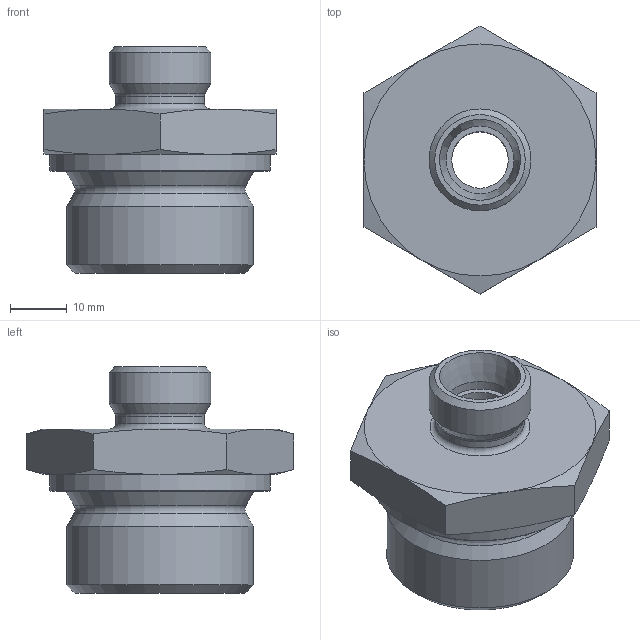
import cadquery as cq
import math

total_height = 40.0
hex_top_z = 29.0
hex_bottom_z = 21.0
collar_bottom_z = 18.0

stud_radius = 33.0 / 2
stud_chamfer = 1.5
stud_thread_top_z = 11.8
stud_groove_radius = 15.0
stud_groove_round = 1.5

collar_radius = 39.0 / 2
collar_chamfer = 0.2
hex_sides = 6
hex_across_flats = 41.0
hex_chamfer_angle = 15.0

tube_end_radius = 18.0 / 2
tube_end_chamfer = 1.0
neck_radius = 15.7 / 2
neck_length = 4.55
neck_round = 1.0

runout_angle = 30.0

bore_radius = 10.0 / 2
socket_radius = 12.0 / 2
socket_depth = 7.0
cone_mouth_radius = 14.3 / 2
cone_half_angle = 12.0


def tan_deg(angle):
    return math.tan(math.radians(angle))


def revolve(profile):
    """Turn a closed (radius, height) profile about the Z axis."""
    return profile.close().revolve(360, (0, 0, 0), (0, 1, 0))


def stud_end():
    """Threaded stud, V-shaped groove with a rounded bottom, and sealing collar."""
    flank = math.radians(runout_angle)
    arc_centre = stud_groove_radius + stud_groove_round
    apex_radius = arc_centre - stud_groove_round / math.cos(flank)
    groove_z = stud_thread_top_z + (stud_radius - apex_radius) / math.tan(flank)
    arc_half_height = stud_groove_round * math.sin(flank)
    arc_end_radius = arc_centre - stud_groove_round * math.cos(flank)
    upper_flank_radius = apex_radius + (collar_bottom_z - groove_z) * math.tan(flank)
    return revolve(
        cq.Workplane("XZ")
        .lineTo(stud_radius - stud_chamfer, 0)
        .lineTo(stud_radius, stud_chamfer)
        .lineTo(stud_radius, stud_thread_top_z)
        .lineTo(arc_end_radius, groove_z - arc_half_height)
        .threePointArc(
            (stud_groove_radius, groove_z),
            (arc_end_radius, groove_z + arc_half_height),
        )
        .lineTo(upper_flank_radius, collar_bottom_z)
        .lineTo(collar_radius - collar_chamfer, collar_bottom_z)
        .lineTo(collar_radius, collar_bottom_z + collar_chamfer)
        .lineTo(collar_radius, hex_bottom_z)
        .lineTo(0, hex_bottom_z)
    )


def hexagon():
    """Hexagon with corners on the Y axis, both faces chamfered down to the inscribed circle."""
    flat_radius = hex_across_flats / 2
    corner_radius = flat_radius / math.cos(math.pi / hex_sides)
    corner_drop = (corner_radius - flat_radius) * tan_deg(hex_chamfer_angle)
    prism = (
        cq.Workplane("XY", origin=(0, 0, hex_bottom_z))
        .polygon(hex_sides, 2 * corner_radius)
        .extrude(hex_top_z - hex_bottom_z)
        .rotate((0, 0, 0), (0, 0, 1), 90)
    )
    chamfer_envelope = revolve(
        cq.Workplane("XZ")
        .moveTo(0, hex_bottom_z)
        .lineTo(flat_radius, hex_bottom_z)
        .lineTo(corner_radius, hex_bottom_z + corner_drop)
        .lineTo(corner_radius, hex_top_z - corner_drop)
        .lineTo(flat_radius, hex_top_z)
        .lineTo(0, hex_top_z)
    )
    return prism.intersect(chamfer_envelope)


def tube_end():
    """Threaded tube end on a neck that is rounded into the hexagon and into its flank."""
    thread_start_z = hex_top_z + neck_length
    flank = math.radians(runout_angle)
    corner_z = thread_start_z - (tube_end_radius - neck_radius) / math.tan(flank)
    arc_start_z = corner_z - neck_round * math.tan(flank / 2)

    def flank_arc_point(angle):
        radius = neck_radius + neck_round * (1 - math.cos(angle))
        return radius, arc_start_z + neck_round * math.sin(angle)

    foot_mid = neck_round * (1 - math.cos(math.radians(45)))
    return revolve(
        cq.Workplane("XZ")
        .moveTo(0, hex_top_z)
        .lineTo(neck_radius + neck_round, hex_top_z)
        .threePointArc(
            (neck_radius + foot_mid, hex_top_z + foot_mid),
            (neck_radius, hex_top_z + neck_round),
        )
        .lineTo(neck_radius, arc_start_z)
        .threePointArc(flank_arc_point(flank / 2), flank_arc_point(flank))
        .lineTo(tube_end_radius, thread_start_z)
        .lineTo(tube_end_radius, total_height - tube_end_chamfer)
        .lineTo(tube_end_radius - tube_end_chamfer, total_height)
        .lineTo(0, total_height)
    )


def bore():
    """Through hole that opens upward into the tube socket and its entry cone."""
    cone_depth = (cone_mouth_radius - socket_radius) / tan_deg(cone_half_angle)
    return revolve(
        cq.Workplane("XZ")
        .lineTo(bore_radius, 0)
        .lineTo(bore_radius, total_height - socket_depth)
        .lineTo(socket_radius, total_height - socket_depth)
        .lineTo(socket_radius, total_height - cone_depth)
        .lineTo(cone_mouth_radius, total_height)
        .lineTo(0, total_height)
    )


result = stud_end().union(hexagon()).union(tube_end()).cut(bore())